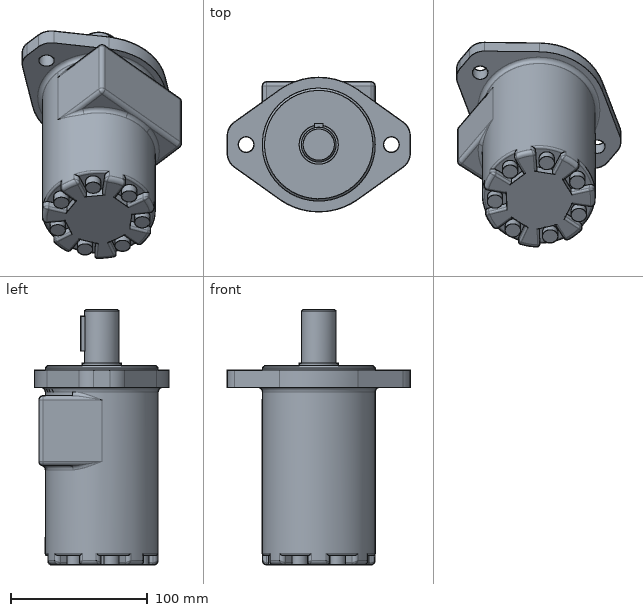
import cadquery as cq
import math

total_height = 186.7
flange_bottom = 129.5
flange_top = 142.3
pilot_top = 145.6

body_radius = 82.5 / 2
body_bottom_fillet = 3.4
flange_root_fillet = 3.4
pilot_chamfer = 1.7

shaft_radius = 25.4 / 2
collar_radius = 28.5 / 2
collar_height = 1.7
shaft_chamfer = 1.3

key_width = 6.3
key_outer_y = 15.5
key_bottom = 156.0
key_top = 181.6

flange_length = 133.9
flange_width = 98.4
flange_corner_radius = 13.0
flange_end_half_flat = 6.0
mount_hole_diameter = 11.2
mount_hole_x = 53.0

block_bottom = 72.5
block_top = 123.5
block_outer_y = 46.0
block_edge_fillet = 3.2
block_root_fillet = 3.0
shoulder_start_y = 21.3

bolt_count = 7
bolt_circle_radius = 32.0
bolt_head_diameter = 11.2
pocket_angle = 28.0
pocket_back_radius = 24.3
pocket_mouth_radius = 44.8
tooth_corner_fillet = 3.0
ceiling_fillet = 1.7
pocket_edge_fillet = 1.7
pocket_height = 6.7

tolerance = 0.02

bolt_pitch = 360 / bolt_count
bolt_angles = [-90 + bolt_pitch * (i + 0.5) for i in range(bolt_count)]


def make_body():
    """Plain cylinder up to the underside of the flange."""
    return cq.Workplane("XY").circle(body_radius).extrude(flange_bottom)


def cut_bolt_pockets(body):
    """Cut a pocket with radial side walls around every bolt, open outwards and downwards."""
    half_angle = math.radians(pocket_angle / 2)
    back_x = pocket_back_radius * math.cos(half_angle)
    back_y = pocket_back_radius * math.sin(half_angle)
    mouth_x = pocket_mouth_radius * math.cos(half_angle)
    mouth_y = pocket_mouth_radius * math.sin(half_angle)
    pocket = (
        cq.Workplane("XY")
        .polyline([(back_x, -back_y), (mouth_x, -mouth_y), (mouth_x, mouth_y), (back_x, back_y)])
        .close()
        .extrude(pocket_height)
    )
    for angle in bolt_angles:
        body = body.cut(pocket.rotate((0, 0, 0), (0, 0, 1), angle))
    return body


def round_tooth_corners(body):
    """Round the upright corners where the pocket walls meet the outside of the body."""

    def is_corner(edge):
        ends = [edge.startPoint(), edge.endPoint()]
        on_outside = all(abs(math.hypot(p.x, p.y) - body_radius) < tolerance for p in ends)
        return on_outside and edge.geomType() == "LINE" and edge.Center().z < pocket_height

    corners = [edge for edge in body.edges("|Z").vals() if is_corner(edge)]
    return body.newObject(corners).fillet(tooth_corner_fillet)


def round_bottom_rim(body):
    """Round the outer bottom edge of all the teeth."""
    envelope = cq.Workplane("XY").circle(body_radius).extrude(flange_bottom)
    return body.intersect(envelope.faces("<Z").edges().fillet(body_bottom_fillet))


def round_pocket_ceilings(toothed):
    """Round the outer edge of every pocket ceiling."""
    disc = cq.Workplane("XY").circle(body_radius).extrude(pocket_height)
    pocket_spaces = disc.cut(toothed).translate((0, 0, ceiling_fillet))
    arc_top = pocket_height + ceiling_fillet
    inner_radius = body_radius - ceiling_fillet
    arc_mid = ceiling_fillet * math.sqrt(0.5)
    rim_cutter = (
        cq.Workplane("XZ")
        .moveTo(body_radius, arc_top)
        .threePointArc((inner_radius + arc_mid, arc_top - arc_mid), (inner_radius, pocket_height))
        .lineTo(pocket_mouth_radius, pocket_height)
        .lineTo(pocket_mouth_radius, arc_top)
        .close()
        .revolve(360, (0, 0, 0), (0, 1, 0))
    )
    return toothed.cut(rim_cutter.intersect(pocket_spaces))


def round_pocket_floor_edges(body):
    """Round the edges between the pocket side walls and the bottom face."""

    def is_side_edge(edge):
        center = edge.Center()
        return edge.geomType() == "LINE" and math.hypot(center.x, center.y) > pocket_back_radius

    side_edges = [edge for edge in body.faces("<Z").edges().vals() if is_side_edge(edge)]
    return body.newObject(side_edges).fillet(pocket_edge_fillet)


def make_bolt_heads():
    """Bolt heads standing in the pockets, flush with the bottom face."""
    bolts = cq.Workplane("XY").polarArray(bolt_circle_radius, bolt_angles[0], 360, bolt_count)
    return bolts.circle(bolt_head_diameter / 2).extrude(pocket_height)


def make_port_block():
    """Block reaching from the body axis out past its +Y side, with all outer edges rounded."""
    block = cq.Workplane("XY").box(
        2 * body_radius,
        block_outer_y,
        block_top - block_bottom,
        centered=(True, False, False),
    )
    block = block.faces(">Y or >Z or <Z").edges("not <Y").fillet(block_edge_fillet)
    return block.translate((0, 0, block_bottom))


def fillet_block_root(body):
    """Blend the top and bottom of the port block into the cylindrical body."""

    def on_root(edge):
        ends = [edge.startPoint(), edge.endPoint()]
        on_cylinder = all(abs(math.hypot(p.x, p.y) - body_radius) < tolerance for p in ends)
        at_block = all(block_bottom - tolerance < p.z < block_top + tolerance for p in ends)
        return on_cylinder and at_block and edge.geomType() != "LINE"

    root_edges = [edge for edge in body.edges().vals() if on_root(edge)]
    return body.newObject(root_edges).fillet(block_root_fillet)


def open_block_shoulder(body):
    """Clear the blend above the back of the port block, leaving the body cylinder bare there."""
    shoulder_height = flange_bottom - block_top
    cutter = (
        cq.Workplane("XY")
        .box(2 * block_outer_y, block_outer_y, shoulder_height, centered=(True, False, False))
        .translate((0, shoulder_start_y, block_top))
        .cut(cq.Workplane("XY").circle(body_radius).extrude(total_height))
    )
    return body.cut(cutter)


def make_flange():
    """Lens-like plate: a large central disc joined by tangent lines to two rounded ends."""
    disc_radius = flange_width / 2
    end_x = flange_length / 2
    corner_x = end_x - flange_corner_radius
    corner_y = flange_end_half_flat
    corner_distance = math.hypot(corner_x, corner_y)
    radius_step = disc_radius - flange_corner_radius
    normal = math.atan2(corner_y, corner_x) + math.acos(radius_step / corner_distance)

    def corner_point(angle):
        return (
            corner_x + flange_corner_radius * math.cos(angle),
            corner_y + flange_corner_radius * math.sin(angle),
        )

    disc_x = disc_radius * math.cos(normal)
    disc_y = disc_radius * math.sin(normal)
    tangent_x, tangent_y = corner_point(normal)
    mid_x, mid_y = corner_point(normal / 2)
    plate = (
        cq.Workplane("XY")
        .workplane(offset=flange_bottom)
        .moveTo(-disc_x, disc_y)
        .threePointArc((0, disc_radius), (disc_x, disc_y))
        .lineTo(tangent_x, tangent_y)
        .threePointArc((mid_x, mid_y), (end_x, corner_y))
        .lineTo(end_x, -corner_y)
        .threePointArc((mid_x, -mid_y), (tangent_x, -tangent_y))
        .lineTo(disc_x, -disc_y)
        .threePointArc((0, -disc_radius), (-disc_x, -disc_y))
        .lineTo(-tangent_x, -tangent_y)
        .threePointArc((-mid_x, -mid_y), (-end_x, -corner_y))
        .lineTo(-end_x, corner_y)
        .threePointArc((-mid_x, mid_y), (-tangent_x, tangent_y))
        .close()
        .extrude(flange_top - flange_bottom)
    )
    holes = cq.Workplane("XY").workplane(offset=flange_bottom)
    holes = holes.pushPoints([(-mount_hole_x, 0), (mount_hole_x, 0)])
    return plate.cut(holes.circle(mount_hole_diameter / 2).extrude(flange_top - flange_bottom))


def make_flange_root():
    """Concave blend between the body and the underside of the flange."""
    root_bottom = flange_bottom - flange_root_fillet
    arc_offset = flange_root_fillet * (1 - math.sqrt(0.5))
    return (
        cq.Workplane("XZ")
        .moveTo(0, flange_bottom)
        .lineTo(body_radius + flange_root_fillet, flange_bottom)
        .threePointArc((body_radius + arc_offset, flange_bottom - arc_offset), (body_radius, root_bottom))
        .lineTo(0, root_bottom)
        .close()
        .revolve(360, (0, 0, 0), (0, 1, 0))
    )


def make_pilot():
    """Chamfered locating disc on top of the flange."""
    base = cq.Workplane("XY").workplane(offset=flange_top)
    pilot = base.circle(body_radius).extrude(pilot_top - flange_top)
    return pilot.faces(">Z").edges().chamfer(pilot_chamfer)


def make_shaft():
    """Chamfered shaft with its base collar and key."""
    base = cq.Workplane("XY").workplane(offset=pilot_top)
    shaft = base.circle(shaft_radius).extrude(total_height - pilot_top)
    shaft = shaft.faces(">Z").edges().chamfer(shaft_chamfer)
    collar = base.circle(collar_radius).extrude(collar_height)
    key = cq.Workplane("XY").box(
        key_width,
        key_outer_y,
        key_top - key_bottom,
        centered=(True, False, False),
    )
    return shaft.union(collar).union(key.translate((0, 0, key_bottom)))


body = cut_bolt_pockets(make_body())
body = round_tooth_corners(body)
body = round_pocket_ceilings(body)
body = round_bottom_rim(body)
body = round_pocket_floor_edges(body)
body = body.union(make_bolt_heads())

body = body.union(make_port_block())
body = fillet_block_root(body)
body = open_block_shoulder(body)

body = body.union(make_flange_root())
body = body.union(make_flange()).union(make_pilot()).union(make_shaft())
result = body.solids()